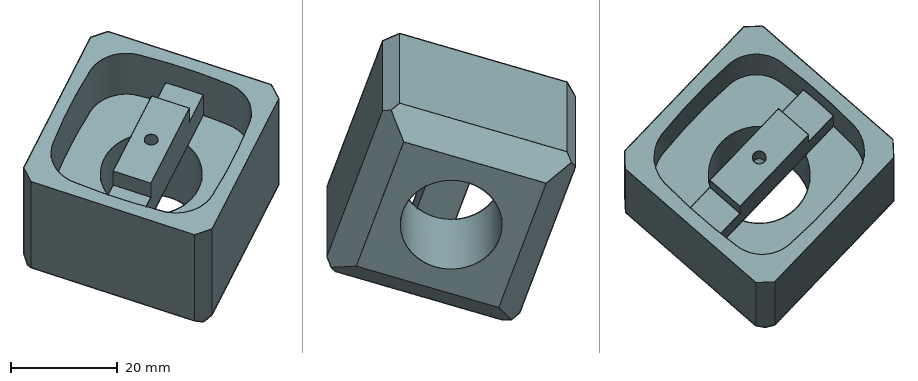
import cadquery as cq
import math

side = 38.1
height = 31.75
corner_chamfer = 2.5
bottom_chamfer = 5.0

pocket_half = 16.5
pocket_depth = 12.7
bow_radius = 114.3
corner_radius = 7.62

bar_width = 7.62
bar_length = 19.05
bar_drop = 2.02
step_drop = 6.35

bore_diameter = 19.05
pilot_diameter = 2.5
pilot_depth = 4.57
drill_point_angle = 118.0

floor_z = height - pocket_depth
bar_top_z = height - bar_drop
step_top_z = height - step_drop


def make_body():
    body = cq.Workplane("XY").box(side, side, height, centered=(True, True, False))
    body = body.edges("|Z").chamfer(corner_chamfer)
    slope_limit = (
        cq.Workplane("XY")
        .box(side, side, height, centered=(True, True, False))
        .faces("<Z")
        .chamfer(bottom_chamfer)
    )
    return body.intersect(slope_limit)


def bowed_square(depth):
    """Prism of four shallow arcs joined by tangent corner arcs, below the rim."""
    bow_offset = bow_radius - pocket_half
    reach = bow_radius - corner_radius
    corner_centre = (math.sqrt(2 * reach**2 - bow_offset**2) - bow_offset) / 2
    tangent_angle = math.asin(corner_centre / reach)
    near = bow_radius * math.sin(tangent_angle)
    far = bow_radius * math.cos(tangent_angle) - bow_offset
    diagonal = corner_centre + corner_radius / math.sqrt(2)
    return (
        cq.Workplane("XY", origin=(0, 0, height - depth))
        .moveTo(-near, far)
        .threePointArc((0, pocket_half), (near, far))
        .threePointArc((diagonal, diagonal), (far, near))
        .threePointArc((pocket_half, 0), (far, -near))
        .threePointArc((diagonal, -diagonal), (near, -far))
        .threePointArc((0, -pocket_half), (-near, -far))
        .threePointArc((-diagonal, -diagonal), (-far, -near))
        .threePointArc((-pocket_half, 0), (-far, near))
        .threePointArc((-diagonal, diagonal), (-near, far))
        .close()
        .extrude(depth)
    )


def make_bar():
    def block(length, top_z):
        return cq.Workplane("XY", origin=(0, 0, floor_z)).box(
            bar_width, length, top_z - floor_z, centered=(True, True, False)
        )

    return block(2 * pocket_half, step_top_z).union(block(bar_length, bar_top_z))


def pilot_hole():
    """Blind drilled hole with a conical bottom."""
    radius = pilot_diameter / 2
    point_length = radius / math.tan(math.radians(drill_point_angle / 2))
    return (
        cq.Workplane("XZ")
        .moveTo(0, bar_top_z)
        .lineTo(radius, bar_top_z)
        .lineTo(radius, bar_top_z - pilot_depth)
        .lineTo(0, bar_top_z - pilot_depth - point_length)
        .close()
        .revolve(360, (0, 0, 0), (0, 1, 0))
    )


bore = cq.Workplane("XY").circle(bore_diameter / 2).extrude(floor_z)
result = make_body().cut(bowed_square(pocket_depth)).cut(bore)
result = result.union(make_bar()).cut(pilot_hole())